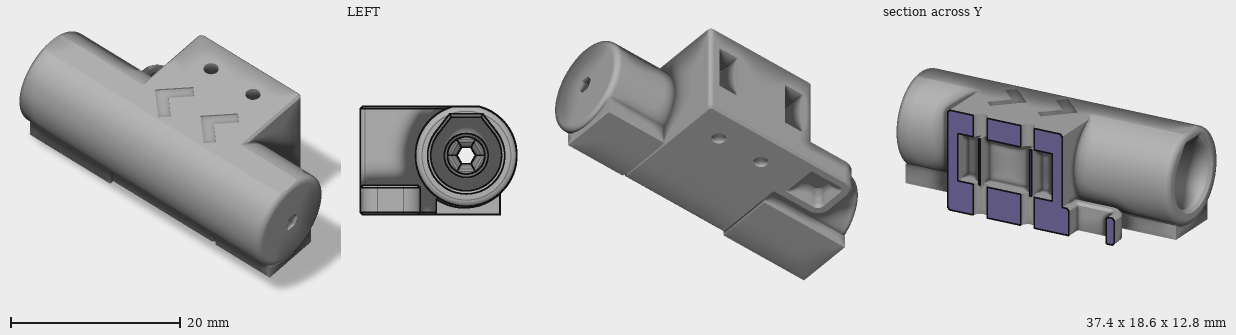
import cadquery as cq
import math


TUBE_LENGTH = 37.4
OVERALL_WIDTH = 18.55
OVERALL_HEIGHT = 12.8

TUBE_RADIUS = 12.0 / 2
TUBE_END_FILLET = 0.75
TOP_Z = 5.8
BOTTOM_Z = TOP_Z - OVERALL_HEIGHT

BORE_RADIUS = 4.2
BORE_DEPTH = 11.22
BORE_ROOF_RATIO = 1.08
BORE_SHOULDER_ANGLE = math.radians(38)
MOUTH_RADIUS = 4.55
MOUTH_DEPTH = 0.37
SEAT_DIAMETER = 5.2
SEAT_THROAT_DIAMETER = 4.4
SEAT_DEPTH = (SEAT_DIAMETER - SEAT_THROAT_DIAMETER) / 2
FUNNEL_START = BORE_DEPTH + SEAT_DEPTH
FUNNEL_HEX_DIAMETER = 3.93
FUNNEL_DEPTH = 0.75
FUNNEL_MOUTH_FILLET = 0.45
CHANNEL_HEX_DIAMETER = 2.2

BLOCK_START = 12.87
BLOCK_LENGTH = 15.67
BLOCK_END = BLOCK_START + BLOCK_LENGTH
BLOCK_MIDDLE = BLOCK_START + BLOCK_LENGTH / 2
BLOCK_BACK_Y = OVERALL_WIDTH - TUBE_RADIUS
BLOCK_FRONT_Y = -3.65
BLOCK_FILLET = 0.52
CHAMFER = 0.3

HOLE_DIAMETER = 1.8
HOLE_PITCH = 6.47
HOLE_OFFSET_X = 0.15
HOLE_MIDDLE_X = BLOCK_MIDDLE + HOLE_OFFSET_X
HOLE_Y = 8.75
POCKET_LENGTH = 12.8
POCKET_HEIGHT = 6.0
POCKET_START_Y = 6.2
FRAME_LENGTH = 7.3
FRAME_WALL = 0.3

CHEVRONS = ((14.7, 1.9, 3.2, 1.5), (21.6, 2.1, 3.15, 1.45))
CHEVRON_DEPTH = 0.2

LOOP_START = 5.75
LOOP_FRONT_Y = 5.45
LOOP_TOP_Z = -3.5
LOOP_RADIUS = 4.0 / 2
LOOP_WALL = 1.2
WINDOW_END = 11.97

PAD_GAP = 0.1
PAD_END_INSET = 0.37
PAD_GROOVE_SHIFT = 0.2
PAD_NEAR_Y = 3.55
PAD_FAR_Y = 4.0


def box(x_range, y_range, z_range):
    """Box between two corner positions on each axis."""
    size = [high - low for low, high in (x_range, y_range, z_range)]
    corner = (x_range[0], y_range[0], z_range[0])
    return cq.Workplane("XY").box(*size, centered=False).translate(corner)


def make_tube():
    """Round bar with filleted ends and a flat top."""
    bar = cq.Workplane("YZ").circle(TUBE_RADIUS).extrude(TUBE_LENGTH)
    bar = bar.faces("<X or >X").edges().fillet(TUBE_END_FILLET)
    above_flat = box((0, TUBE_LENGTH), (-TUBE_RADIUS, TUBE_RADIUS), (TOP_Z, TUBE_RADIUS))
    return bar.cut(above_flat)


def make_block():
    """Block with three rounded upright edges, chamfered around its bottom and the outside of its top."""
    block = box((BLOCK_START, BLOCK_END), (BLOCK_FRONT_Y, BLOCK_BACK_Y), (BOTTOM_Z, TOP_Z))
    block = block.edges("|Z").edges(">X or >Y").fillet(BLOCK_FILLET)
    block = block.faces("<Z").edges().chamfer(CHAMFER)
    front_upper = box((BLOCK_START, BLOCK_END), (BLOCK_FRONT_Y, 0), (0, TOP_Z))
    block = block.cut(front_upper)
    return block.faces(">Z").edges("<X or >X or >Y").chamfer(CHAMFER)


def make_loop():
    """Flat loop with two rounded corners and a rounded window."""
    loop_end = BLOCK_START + BLOCK_FILLET
    loop = box((LOOP_START, loop_end), (LOOP_FRONT_Y, BLOCK_BACK_Y), (BOTTOM_Z, LOOP_TOP_Z))
    loop = loop.edges("|Z and <X").fillet(LOOP_RADIUS)
    loop = loop.faces("<Z").edges("not >X").chamfer(CHAMFER)
    window = box(
        (LOOP_START + LOOP_WALL, WINDOW_END),
        (LOOP_FRONT_Y + LOOP_WALL, BLOCK_BACK_Y - LOOP_WALL),
        (BOTTOM_Z, LOOP_TOP_Z),
    )
    window = window.edges("|Z and <X").fillet(LOOP_RADIUS - LOOP_WALL)
    loop = loop.cut(window)
    return loop.faces(">Z").edges("not >X").chamfer(CHAMFER)


def bore_outline(plane, radius):
    """Circle with sloping shoulders and a flat roof."""
    roof_z = radius * BORE_ROOF_RATIO
    shoulder_y = radius * math.cos(BORE_SHOULDER_ANGLE)
    shoulder_z = radius * math.sin(BORE_SHOULDER_ANGLE)
    roof_y = (radius - roof_z * math.sin(BORE_SHOULDER_ANGLE)) / math.cos(BORE_SHOULDER_ANGLE)
    return (
        plane.moveTo(-roof_y, roof_z)
        .lineTo(roof_y, roof_z)
        .lineTo(shoulder_y, shoulder_z)
        .threePointArc((0, -radius), (-shoulder_y, shoulder_z))
        .close()
    )


def hex_taper(start, depth, start_diameter, end_diameter):
    """Hexagonal frustum along X, sized across its corners."""
    plane = cq.Workplane("YZ", origin=(start, 0, 0)).polygon(6, start_diameter)
    return plane.workplane(offset=depth).polygon(6, end_diameter).loft(ruled=True)


def make_channel():
    """Bore with a flared mouth, then a conical seat and a hexagonal funnel."""
    bore = bore_outline(cq.Workplane("YZ"), BORE_RADIUS).extrude(BORE_DEPTH)
    mouth = bore_outline(cq.Workplane("YZ"), MOUTH_RADIUS).workplane(offset=MOUTH_DEPTH)
    mouth = bore_outline(mouth, BORE_RADIUS).loft(ruled=True)
    seat = cq.Workplane("YZ", origin=(BORE_DEPTH, 0, 0)).circle(SEAT_DIAMETER / 2)
    seat = seat.workplane(offset=SEAT_DEPTH).circle(SEAT_THROAT_DIAMETER / 2).loft(ruled=True)
    channel_start = FUNNEL_START + FUNNEL_DEPTH
    funnel = hex_taper(FUNNEL_START, FUNNEL_DEPTH, FUNNEL_HEX_DIAMETER, CHANNEL_HEX_DIAMETER)
    channel = cq.Workplane("YZ", origin=(channel_start, 0, 0)).polygon(6, CHANNEL_HEX_DIAMETER)
    channel = channel.extrude(TUBE_LENGTH - channel_start)
    return bore.union(mouth).union(seat).union(funnel).union(channel)


def round_funnel_mouth(housing):
    """Round the six straight edges where the funnel opens into the seat."""
    reach = FUNNEL_HEX_DIAMETER / 2
    mouth_edges = cq.selectors.BoxSelector(
        (FUNNEL_START - FUNNEL_DEPTH / 4, -reach, -reach),
        (FUNNEL_START + FUNNEL_DEPTH / 4, reach, reach),
    )
    return housing.edges(mouth_edges).edges("%LINE").fillet(FUNNEL_MOUTH_FILLET)


def make_screw_holes():
    """Two upright holes through the whole block."""
    half_pitch = HOLE_PITCH / 2
    return (
        cq.Workplane("XY", origin=(HOLE_MIDDLE_X, HOLE_Y, BOTTOM_Z))
        .pushPoints([(-half_pitch, 0), (half_pitch, 0)])
        .circle(HOLE_DIAMETER / 2)
        .extrude(TOP_Z - BOTTOM_Z)
    )


def make_pocket():
    """Pocket open at the back of the block."""
    return box(
        (BLOCK_MIDDLE - POCKET_LENGTH / 2, BLOCK_MIDDLE + POCKET_LENGTH / 2),
        (POCKET_START_Y, BLOCK_BACK_Y),
        (-POCKET_HEIGHT / 2, POCKET_HEIGHT / 2),
    )


def make_chevron(tip_x, tip_y, reach, stroke):
    """Engraved chevron with arms at 45 degrees, pointing to -X."""
    notch = stroke * math.sqrt(2)
    half_notch = notch / 2
    arm_corner = reach - half_notch
    outline = [
        (0, 0),
        (reach, reach),
        (reach + half_notch, arm_corner),
        (notch, 0),
        (reach + half_notch, -arm_corner),
        (reach, -reach),
    ]
    plane = cq.Workplane("XY", origin=(tip_x, tip_y, TOP_Z))
    return plane.polyline(outline).close().extrude(-CHEVRON_DEPTH)


def make_housing():
    """Tube, block and loop as one body, with all their openings."""
    housing = make_tube().union(make_block()).union(make_loop())
    housing = round_funnel_mouth(housing.cut(make_channel()))
    housing = housing.cut(make_screw_holes()).cut(make_pocket())
    for chevron in CHEVRONS:
        housing = housing.cut(make_chevron(*chevron))
    return housing


def make_support_frame():
    """Thin rectangular frame that stands in the pocket up to its ceiling."""
    depth = BLOCK_BACK_Y - POCKET_START_Y
    middle_y = POCKET_START_Y + depth / 2
    return (
        cq.Workplane("XY", origin=(BLOCK_MIDDLE, middle_y, -POCKET_HEIGHT / 2))
        .rect(FRAME_LENGTH, depth)
        .rect(FRAME_LENGTH - 2 * FRAME_WALL, depth - 2 * FRAME_WALL)
        .extrude(POCKET_HEIGHT)
    )


def make_support_pad(start, end, side):
    """Pad with a groove under the tube; side is the Y direction in which it reaches further."""
    y_range = sorted((side * PAD_FAR_Y, -side * PAD_NEAR_Y))
    pad = box((start, end), y_range, (BOTTOM_Z, 0))
    groove = (
        cq.Workplane("YZ", origin=(start, -side * PAD_GROOVE_SHIFT, -PAD_GROOVE_SHIFT))
        .circle(TUBE_RADIUS)
        .extrude(end - start)
    )
    above_groove = box((start, end), y_range, (-PAD_GROOVE_SHIFT, 0))
    return pad.cut(groove).cut(above_groove)


housing = make_housing()
support_frame = make_support_frame()
pad_spans = (
    (PAD_END_INSET, BLOCK_START - PAD_GAP, -1),
    (BLOCK_END + PAD_GAP, TUBE_LENGTH - PAD_END_INSET, 1),
)
support_pads = [make_support_pad(*span).val() for span in pad_spans]

result = cq.Compound.makeCompound([housing.val(), support_frame.val(), *support_pads])